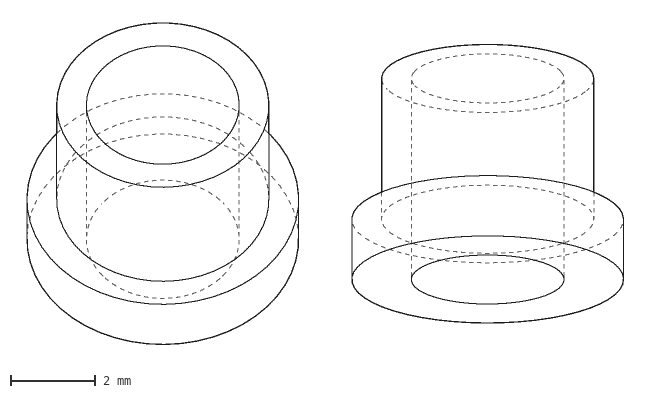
import cadquery as cq

flange_diameter = 6.4
sleeve_diameter = 5.0
bore_diameter = 3.6
total_height = 5.0
flange_height = 1.5
sleeve_height = total_height - flange_height

flange = cq.Workplane("XY").circle(flange_diameter / 2).extrude(flange_height)

flanged_sleeve = flange.faces(">Z").workplane().circle(sleeve_diameter / 2).extrude(sleeve_height)

bore = cq.Workplane("XY").circle(bore_diameter / 2).extrude(total_height)

result = flanged_sleeve.cut(bore)